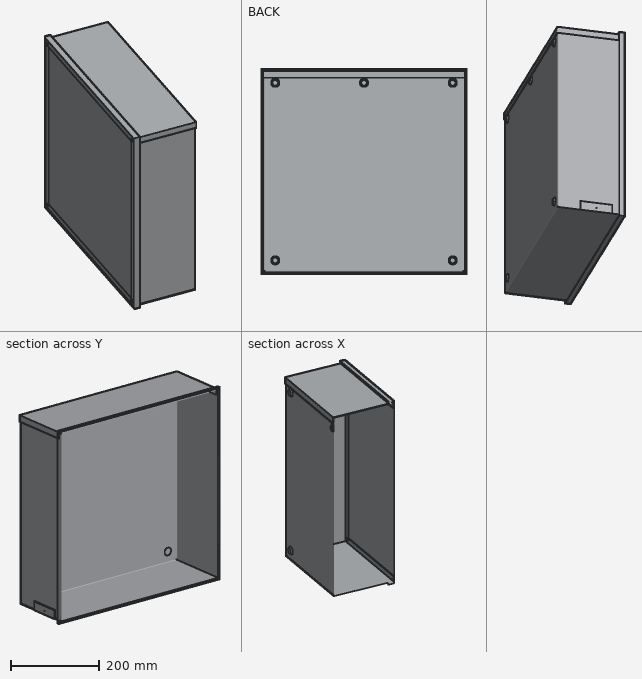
import cadquery as cq

sheet = 1.6
bend_radius = 3.4

cover_size = 466.6
cover_depth = 14.5
cover_bend_radius = 2.5
cover_corner_radius = 1.5
screw_hole_diameter = 7.37
screw_pitch = 437.0

box_size = 456.0
box_front = sheet
box_back = 157.8
opening_size = 427.6

overall_depth = 161.85
dimple_base_diameter = 19.0
dimple_top_diameter = 13.0
dimple_pitch = 402.6
dimple_height = overall_depth - box_back

cap_lip = 15.0
cap_corner_radius = 2.5

plate_length = 75.5
plate_height = 22.5
plate_center_y = 67.0
plate_bevel = 1.2
plate_hole_diameter = 0.79
plate_hole_drop = 1.2


def square_block(size, front, back):
    """Square block centred on the Y axis, between two Y planes."""
    return cq.Workplane("XY").box(size, back - front, size).translate((0, (front + back) / 2, 0))


def screw_holes(back):
    """Cutting cylinders for the four corner screws, from the front face back to a Y plane."""
    return (
        cq.Workplane("XZ")
        .rect(screw_pitch, screw_pitch, forConstruction=True)
        .vertices()
        .circle(screw_hole_diameter / 2)
        .extrude(-back)
    )


def make_cover():
    outer = square_block(cover_size, 0, cover_depth).edges("|Y").fillet(cover_corner_radius)
    outer = outer.faces("<Y").edges().fillet(cover_bend_radius)
    inner = square_block(cover_size - 2 * sheet, sheet, cover_depth)
    inner = inner.faces("<Y").edges().fillet(cover_bend_radius - sheet)
    return outer.cut(inner).cut(screw_holes(sheet))


def make_dimple(x, z):
    """Solid cone frustum standing on the back wall."""
    return (
        cq.Workplane("XZ", origin=(x, box_back, z))
        .circle(dimple_base_diameter / 2)
        .workplane(offset=-dimple_height)
        .circle(dimple_top_diameter / 2)
        .loft()
    )


def box_block(inset):
    """Box outline moved inward by an inset, with its bends kept concentric."""
    block = square_block(box_size - 2 * inset, box_front + inset, box_back - inset)
    return block.edges(">Y and (not >Z)").fillet(bend_radius - inset)


def make_box():
    opening = square_block(opening_size, box_front, box_front + sheet)
    box = box_block(0).cut(box_block(sheet)).cut(opening).cut(screw_holes(box_front + sheet))
    reach = dimple_pitch / 2
    for x, z in [(-reach, reach), (0, reach), (reach, reach), (-reach, -reach), (reach, -reach)]:
        box = box.union(make_dimple(x, z))
    return box


def make_cap():
    """Top sheet with lips bent down over both sides and the back of the box."""
    width = box_size + 2 * sheet
    top = box_size / 2 + sheet
    bottom = box_size / 2 - cap_lip
    depth = box_back + sheet - cover_depth
    block = (
        cq.Workplane("XY")
        .box(width, depth, top - bottom, centered=(True, False, False))
        .translate((0, cover_depth, bottom))
    )
    block = block.edges(">Z and (not <Y)").fillet(bend_radius)
    block = block.edges(">Y and |Z").fillet(cap_corner_radius)
    return block.cut(box_block(0))


def make_plate():
    plate = (
        cq.Workplane("XY")
        .box(sheet, plate_length, plate_height)
        .faces("<X")
        .edges("not <Z")
        .chamfer(plate_bevel)
        .faces("<X")
        .workplane(centerOption="CenterOfBoundBox")
        .center(0, -plate_hole_drop)
        .hole(plate_hole_diameter)
    )
    x = -(box_size + sheet) / 2
    z = (plate_height - box_size) / 2
    return plate.translate((x, plate_center_y, z))


cover = make_cover()
box = make_box()
cap = make_cap()
plate = make_plate()

result = cq.Compound.makeCompound([body.solids().val() for body in (cover, box, cap, plate)])